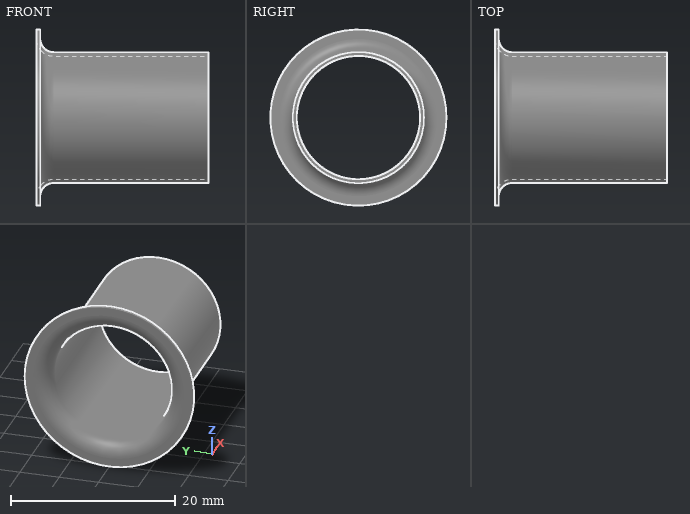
import cadquery as cq

length = 21.0
flange_radius = 10.75
tube_radius = 8.0
wall = 0.5
outer_bend_radius = 1.6
rim_round = 0.09
end_round = 0.15

bore_radius = tube_radius - wall
mouth_radius = outer_bend_radius + wall
bend_end_x = mouth_radius
bend_center_radius = bore_radius + mouth_radius

wall_section = (
    cq.Workplane("XY")
    .moveTo(bend_end_x, bore_radius)
    .lineTo(length, bore_radius)
    .lineTo(length, tube_radius - end_round)
    .radiusArc((length - end_round, tube_radius), -end_round)
    .lineTo(bend_end_x, tube_radius)
    .radiusArc((wall, bend_center_radius), outer_bend_radius)
    .lineTo(wall, flange_radius - rim_round)
    .radiusArc((wall - rim_round, flange_radius), -rim_round)
    .lineTo(rim_round, flange_radius)
    .radiusArc((0, flange_radius - rim_round), -rim_round)
    .lineTo(0, bend_center_radius)
    .radiusArc((bend_end_x, bore_radius), -mouth_radius)
    .close()
)

result = wall_section.revolve(360, (0, 0, 0), (1, 0, 0))